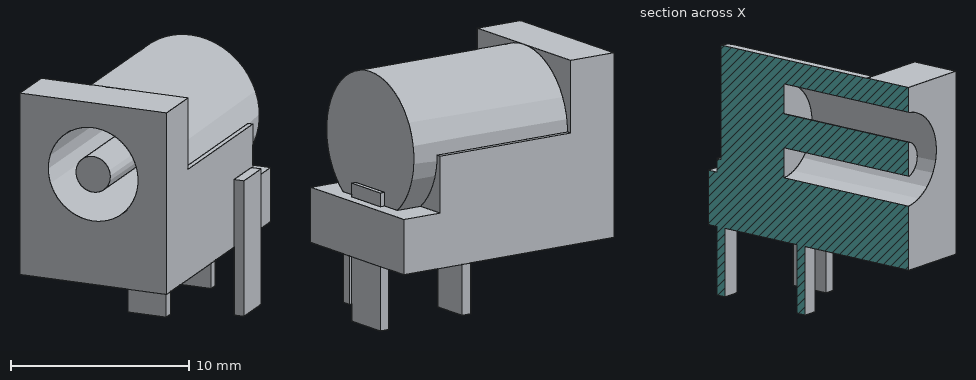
import cadquery as cq

overall_height = 14.7
body_width = 9.0
body_length = 14.5
body_height = 10.7
flange_thickness = 3.0
shelf_height = 3.2
shelf_length = 2.5

barrel_diameter = 8.41
barrel_back_gap = 0.9
barrel_radius = barrel_diameter / 2
axis_height = body_height - barrel_radius
socket_diameter = 5.5
socket_depth = 9.0
center_pin_diameter = 2.1

terminal_thickness = 0.6
terminal_drop = overall_height - body_height
terminal_rise = terminal_drop
back_terminal_width = 2.75
back_terminal_gap = 0.6
middle_terminal_width = 2.35
middle_terminal_gap = 6.4
side_terminal_width = 2.4
side_terminal_gap = 2.7


def block(width, length, height, x_center, y_front, z_bottom):
    """Box placed by its X centre, front face and underside."""
    return (
        cq.Workplane("XY")
        .box(width, length, height, centered=(True, False, False))
        .translate((x_center, y_front, z_bottom))
    )


def rod(diameter, y_front, y_back):
    """Cylinder on the barrel axis between two Y positions."""
    return (
        cq.Workplane("XZ", origin=(0, y_front, axis_height))
        .circle(diameter / 2)
        .extrude(y_front - y_back)
    )


def cross_terminal(width, back_gap, rise):
    """Terminal lying across the body, placed by its gap to the back face."""
    y_front = body_length - back_gap - terminal_thickness
    return block(width, terminal_thickness, terminal_drop + rise, 0, y_front, -terminal_drop)


flange = block(body_width, flange_thickness, body_height, 0, 0, 0)
walls = block(body_width, body_length - shelf_length, axis_height, 0, 0, 0)
shelf = block(body_width, body_length, shelf_height, 0, 0, 0)
barrel = rod(barrel_diameter, 0, body_length - barrel_back_gap)
housing = flange.union(walls).union(shelf).union(barrel)

socket = rod(socket_diameter, 0, socket_depth)
center_pin = rod(center_pin_diameter, 0, socket_depth)
housing = housing.cut(socket.cut(center_pin))

back_terminal = cross_terminal(back_terminal_width, back_terminal_gap, terminal_rise)
middle_terminal = cross_terminal(middle_terminal_width, middle_terminal_gap, 0)
side_terminal = block(
    terminal_thickness,
    side_terminal_width,
    terminal_drop + terminal_rise,
    (body_width + terminal_thickness) / 2,
    body_length - side_terminal_gap - side_terminal_width,
    -terminal_drop,
)

result = housing.union(back_terminal).union(middle_terminal).union(side_terminal)